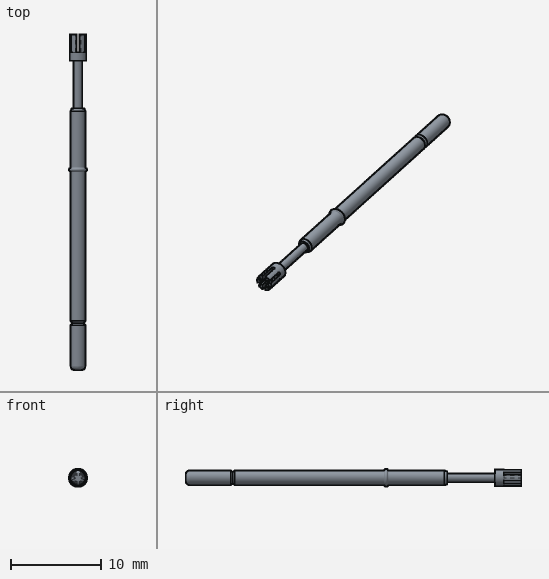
import cadquery as cq
import math

total_length = 37.31
ring_diameter = 2.03

head_diameter = 1.88
head_length = 2.95
shaft_diameter = 1.0
slot_width = 0.31
slot_depth = 1.97
slot_count = 3

barrel_diameter = 1.67
nose_diameter = 1.42
nose_from_tip = 8.22
nose_length = 0.33
tail_fillet = 0.48

ring_from_tip = 15.03
bead_radius = 0.2
bead_fillet = 0.1

groove_from_tip = 32.07
groove_depth = 0.2
groove_half_width = 0.24

tip_y = total_length / 2
tail_y = -total_length / 2
head_back_y = tip_y - head_length
nose_y = tip_y - nose_from_tip
ring_y = tip_y - ring_from_tip
groove_y = tip_y - groove_from_tip
barrel_radius = barrel_diameter / 2


def make_cylinder(diameter, start_y, end_y):
    """Cylinder around the Y axis between two lengthwise positions."""
    profile = cq.Workplane("XY").moveTo(0, start_y)
    profile = profile.lineTo(-diameter / 2, start_y).lineTo(-diameter / 2, end_y).lineTo(0, end_y).close()
    return profile.revolve(360, (0, 0, 0), (0, 1, 0))


def make_plunger():
    """Shaft and head, with the slots spaced evenly around the head's axis."""
    shaft_overlap = nose_length
    shaft = make_cylinder(shaft_diameter, nose_y - shaft_overlap, head_back_y)
    head = make_cylinder(head_diameter, head_back_y, tip_y)
    cutter = cq.Workplane("XY").box(slot_width, slot_depth, 2 * head_diameter)
    cutter = cutter.translate((0, tip_y - slot_depth / 2, 0))
    for index in range(slot_count):
        angle = index * 180 / slot_count
        head = head.cut(cutter.rotate((0, 0, 0), (0, 1, 0), angle))
    return shaft.union(head)


def make_barrel():
    """Tube body with tapered nose, V groove and rounded tail, as one revolved profile."""
    groove_radius = barrel_radius - groove_depth
    fillet_center_y = tail_y + tail_fillet
    fillet_center_z = barrel_radius - tail_fillet
    fillet_middle = (
        fillet_center_y - tail_fillet * math.cos(math.pi / 4),
        fillet_center_z + tail_fillet * math.sin(math.pi / 4),
    )
    profile = (
        cq.Workplane("YZ")
        .moveTo(nose_y, 0)
        .lineTo(nose_y, nose_diameter / 2)
        .lineTo(nose_y - nose_length, barrel_radius)
        .lineTo(groove_y + groove_half_width, barrel_radius)
        .lineTo(groove_y, groove_radius)
        .lineTo(groove_y - groove_half_width, barrel_radius)
        .lineTo(fillet_center_y, barrel_radius)
        .threePointArc(fillet_middle, (tail_y, fillet_center_z))
        .lineTo(tail_y, 0)
        .close()
    )
    return profile.revolve(360, (0, 0, 0), (1, 0, 0))


def make_ring():
    """Press ring: a convex bead blended into the barrel by two tangent concave fillets."""
    crest_z = ring_diameter / 2
    bead_center_z = crest_z - bead_radius
    fillet_center_z = barrel_radius + bead_fillet
    center_distance = bead_radius + bead_fillet
    rise = fillet_center_z - bead_center_z
    half_width = math.sqrt(center_distance**2 - rise**2)
    tangent_offset = half_width * bead_radius / center_distance
    tangent_z = bead_center_z + rise * bead_radius / center_distance

    half_sweep = math.atan2(half_width, rise) / 2
    middle_offset = half_width - bead_fillet * math.sin(half_sweep)
    middle_z = fillet_center_z - bead_fillet * math.cos(half_sweep)

    profile = (
        cq.Workplane("YZ")
        .moveTo(ring_y - half_width, 0)
        .lineTo(ring_y - half_width, barrel_radius)
        .threePointArc((ring_y - middle_offset, middle_z), (ring_y - tangent_offset, tangent_z))
        .threePointArc((ring_y, crest_z), (ring_y + tangent_offset, tangent_z))
        .threePointArc((ring_y + middle_offset, middle_z), (ring_y + half_width, barrel_radius))
        .lineTo(ring_y + half_width, 0)
        .close()
    )
    return profile.revolve(360, (0, 0, 0), (1, 0, 0))


result = make_barrel().union(make_ring()).union(make_plunger())